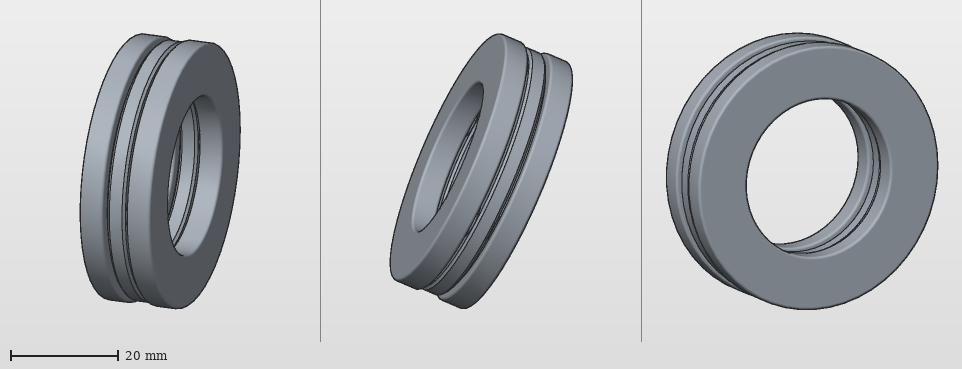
import cadquery as cq

outer_dia = 50.0
bore_dia = 30.0
bearing_width = 14.0
washer_thickness = bearing_width / 3
washer_edge_radius = 0.5

ball_dia = 7.1
ball_count = 4
pitch_dia = (outer_dia + bore_dia) / 2

cage_outer_dia = 49.0
cage_bore_dia = 31.0
cage_width = 3.5
cage_chamfer = 0.5
pocket_dia = 7.4


def ring(ring_outer_dia, ring_bore_dia, width, start_x):
    """Plain ring running from start_x towards +X."""
    return (
        cq.Workplane("YZ", origin=(start_x, 0, 0))
        .circle(ring_outer_dia / 2)
        .circle(ring_bore_dia / 2)
        .extrude(width)
    )


def make_raceway():
    """Torus swept by the balls as they roll around the X axis."""
    return cq.Workplane(
        cq.Solid.makeTorus(pitch_dia / 2, ball_dia / 2, cq.Vector(0, 0, 0), cq.Vector(1, 0, 0))
    )


def make_washer(start_x):
    """Washer with rounded edges and a raceway groove facing the balls."""
    blank = ring(outer_dia, bore_dia, washer_thickness, start_x)
    return blank.edges().fillet(washer_edge_radius).cut(make_raceway())


def make_ball(angle):
    """Ball on the pitch circle, at an angle in degrees from +Y."""
    ball = cq.Workplane("XY").sphere(ball_dia / 2).translate((0, pitch_dia / 2, 0))
    return ball.rotate((0, 0, 0), (1, 0, 0), angle)


def make_cage():
    """Chamfered ring with a round clearance hole for each ball."""
    cage_ring = ring(cage_outer_dia, cage_bore_dia, cage_width, -cage_width / 2)
    cage_ring = cage_ring.edges().chamfer(cage_chamfer)
    pockets = (
        cq.Workplane("YZ", origin=(-cage_width / 2, 0, 0))
        .polarArray(pitch_dia / 2, 0, 360, ball_count)
        .circle(pocket_dia / 2)
        .extrude(cage_width)
    )
    return cage_ring.cut(pockets)


left_washer = make_washer(-bearing_width / 2)
right_washer = make_washer(bearing_width / 2 - washer_thickness)
balls = [make_ball(index * 360 / ball_count) for index in range(ball_count)]
cage = make_cage()

result = cq.Compound.makeCompound(
    [left_washer.val(), right_washer.val(), cage.val(), *[ball.val() for ball in balls]]
)